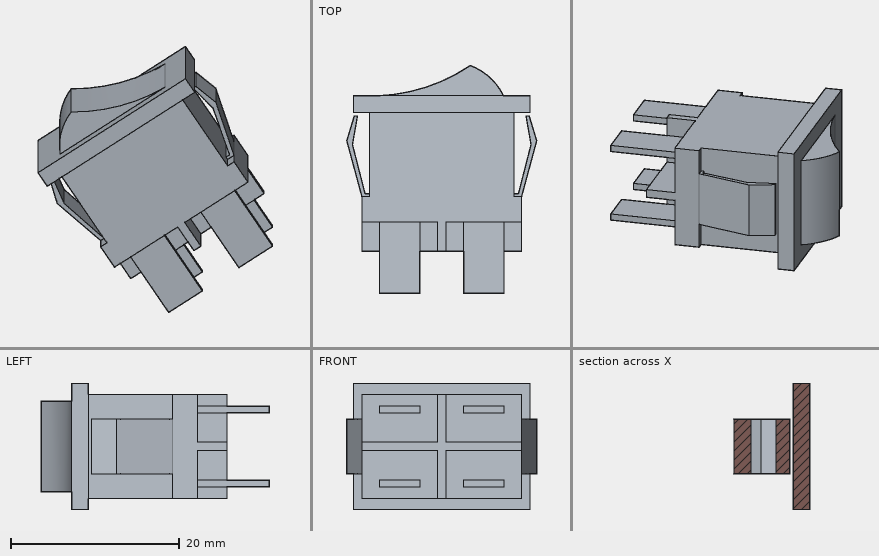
import cadquery as cq


flange_width = 21.0
flange_height = 15.0
flange_thickness = 2.0

housing_width = 17.2
housing_height = 12.4
housing_depth = 10.0
base_width = 19.0
base_depth = 3.0

divider_thickness = 1.0
divider_depth = 3.5

terminal_width = 4.8
terminal_thickness = 0.8
terminal_protrusion = 5.0
terminal_pitch_x = 10.0
terminal_pitch_z = 8.8

clip_height = 6.5
clip_foot_thickness = 0.35
clip_foot_inner_x = 9.1
clip_knee_outer_x = 11.3
clip_knee_outer_rise = 6.65
clip_knee_inner_x = 10.6
clip_knee_inner_rise = 6.2
clip_tip_outer_x = 10.4
clip_tip_inner_x = 10.0
clip_tip_rise = 9.6

rocker_height = 10.8
rocker_start_x = -7.6
rocker_end_x = 7.35
rocker_peak_x = 3.4
rocker_peak_rise = 3.6
rocker_hollow_x = -1.95
rocker_hollow_rise = 1.0
rocker_flank_x = 5.75
rocker_flank_rise = 2.15

flange_top_y = flange_thickness
base_top_y = -housing_depth
base_bottom_y = base_top_y - base_depth


def block(width, height, y_start, y_end, x=0.0, z=0.0):
    """Box centred on (x, z) that spans y_start to y_end."""
    size_y = y_end - y_start
    return cq.Workplane("XY").box(width, size_y, height).translate((x, y_start + size_y / 2, z))


def extrude_about_mid_plane(outline, height):
    """Extrude a closed XY outline equally to both sides of Z = 0."""
    return outline.extrude(height / 2, both=True)


def make_body():
    flange = block(flange_width, flange_height, 0.0, flange_top_y)
    housing = block(housing_width, housing_height, base_top_y, 0.0)
    base = block(base_width, housing_height, base_bottom_y, base_top_y)
    return flange.union(housing).union(base)


def make_divider():
    divider_end_y = base_bottom_y - divider_depth
    upright = block(divider_thickness, housing_height, divider_end_y, base_bottom_y)
    crossbar = block(base_width, divider_thickness, divider_end_y, base_bottom_y)
    return upright.union(crossbar)


def make_terminal(x, z):
    terminal_end_y = base_bottom_y - divider_depth - terminal_protrusion
    return block(terminal_width, terminal_thickness, terminal_end_y, base_bottom_y, x, z)


def make_clip():
    """Bent spring clip on the +X side, standing on the shoulder of the base."""
    outline = (
        cq.Workplane("XY")
        .moveTo(housing_width / 2, base_top_y)
        .lineTo(base_width / 2, base_top_y)
        .lineTo(clip_knee_outer_x, base_top_y + clip_knee_outer_rise)
        .lineTo(clip_tip_outer_x, base_top_y + clip_tip_rise)
        .lineTo(clip_tip_inner_x, base_top_y + clip_tip_rise)
        .lineTo(clip_knee_inner_x, base_top_y + clip_knee_inner_rise)
        .lineTo(clip_foot_inner_x, base_top_y + clip_foot_thickness)
        .lineTo(housing_width / 2, base_top_y + clip_foot_thickness)
        .close()
    )
    return extrude_about_mid_plane(outline, clip_height)


def make_rocker():
    """Rocker with a concave pressing face and a convex flank that meet at a peak."""
    peak = (rocker_peak_x, flange_top_y + rocker_peak_rise)
    hollow = (rocker_hollow_x, flange_top_y + rocker_hollow_rise)
    flank = (rocker_flank_x, flange_top_y + rocker_flank_rise)
    outline = (
        cq.Workplane("XY")
        .moveTo(rocker_start_x, flange_top_y)
        .threePointArc(hollow, peak)
        .threePointArc(flank, (rocker_end_x, flange_top_y))
        .close()
    )
    return extrude_about_mid_plane(outline, rocker_height)


result = make_body().union(make_divider()).union(make_rocker())

for side_x in (-1, 1):
    for side_z in (-1, 1):
        terminal = make_terminal(side_x * terminal_pitch_x / 2, side_z * terminal_pitch_z / 2)
        result = result.union(terminal)

clip = make_clip()
result = result.union(clip).union(clip.mirror("YZ"))